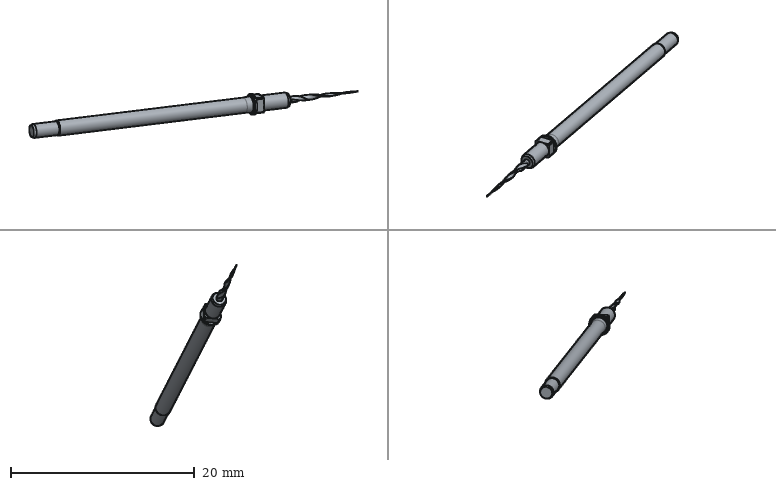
import cadquery as cq
import math

TOTAL_LENGTH = 38.8
TAIL_LENGTH = 2.95
NECK_START = 25.25
FLANGE_START = 26.0
FLANGE_END = 26.35
LUG_END = 27.28
BODY_END = 30.45
FLUTE_START = 30.8
FLUTE_FADE_START = 32.6

BODY_DIAMETER = 1.7
TAIL_DIAMETER = 1.55
NECK_FRONT_DIAMETER = 1.82
FLANGE_DIAMETER = 2.3
LUG_ACROSS_FLATS = 1.75
END_CHAMFER_LENGTH = 0.27
END_CHAMFER_DEPTH = 0.1
BODY_REAR_CHAMFER_LENGTH = 0.1
BODY_REAR_CHAMFER_DEPTH = 0.06
FLANGE_CHAMFER = 0.1

SHANK_RADIUS = 0.35
TIP_RADIUS = 0.05
TAPER_START = 31.8
WEB_RATIO = 0.4
FADED_WEB_RATIO = 0.95
TWIST_PITCH = 5.12
FLAT_STATION = 33.35
BLADE_SECTIONS = 25


def section_plane(station, angle=0):
    """Plane across the axis at a Y station, with its local x turned from +X about the axis."""
    plane = cq.Plane(origin=(0, station, 0), xDir=(1, 0, 0), normal=(0, 1, 0))
    return cq.Workplane(plane.rotated((0, 0, angle)))


def rod(start, end, diameter):
    return section_plane(start).circle(diameter / 2).extrude(end - start)


def square_lug():
    """Square wrench lug whose corners are rounded to the flange diameter."""
    length = LUG_END - FLANGE_END
    square = section_plane(FLANGE_END).rect(LUG_ACROSS_FLATS, LUG_ACROSS_FLATS).extrude(length)
    return square.intersect(rod(FLANGE_END, LUG_END, FLANGE_DIAMETER))


def handle():
    """Turned handle profile, revolved about Y, with the square lug in front of the flange."""
    body_radius = BODY_DIAMETER / 2
    tail_radius = TAIL_DIAMETER / 2
    flange_radius = FLANGE_DIAMETER / 2
    profile = (
        cq.Workplane("XY")
        .lineTo(tail_radius - END_CHAMFER_DEPTH, 0)
        .lineTo(tail_radius, END_CHAMFER_LENGTH)
        .lineTo(tail_radius, TAIL_LENGTH)
        .lineTo(body_radius - BODY_REAR_CHAMFER_DEPTH, TAIL_LENGTH)
        .lineTo(body_radius, TAIL_LENGTH + BODY_REAR_CHAMFER_LENGTH)
        .lineTo(body_radius, NECK_START)
        .lineTo(NECK_FRONT_DIAMETER / 2, FLANGE_START)
        .lineTo(flange_radius - FLANGE_CHAMFER, FLANGE_START)
        .lineTo(flange_radius, FLANGE_START + FLANGE_CHAMFER)
        .lineTo(flange_radius, FLANGE_END)
        .lineTo(body_radius, FLANGE_END)
        .lineTo(body_radius, BODY_END - END_CHAMFER_LENGTH)
        .lineTo(body_radius - END_CHAMFER_DEPTH, BODY_END)
        .lineTo(0, BODY_END)
        .close()
    )
    return profile.revolve(360, (0, 0, 0), (0, 1, 0)).union(square_lug())


def blade_radius(station):
    """Constant behind the taper start, then shrinking evenly to the tip."""
    taper = (station - TAPER_START) / (TOTAL_LENGTH - TAPER_START)
    return SHANK_RADIUS + (TIP_RADIUS - SHANK_RADIUS) * max(0, taper)


def blade_web_ratio(station):
    """Share of the diameter left between the flutes, growing toward the shank."""
    fade = (FLUTE_FADE_START - station) / (FLUTE_FADE_START - FLUTE_START)
    return WEB_RATIO + (FADED_WEB_RATIO - WEB_RATIO) * max(0, fade)


def blade_section(station):
    """Rounded flat section: a circle with its two opposite sides cut flat, turned with the twist."""
    radius = blade_radius(station)
    half_web = radius * blade_web_ratio(station)
    half_chord = math.sqrt(radius ** 2 - half_web ** 2)
    angle = 360 * (station - FLAT_STATION) / TWIST_PITCH
    outline = (
        section_plane(station, angle)
        .moveTo(half_web, -half_chord)
        .lineTo(half_web, half_chord)
        .threePointArc((0, radius), (-half_web, half_chord))
        .lineTo(-half_web, -half_chord)
        .threePointArc((0, -radius), (half_web, -half_chord))
        .close()
    )
    return outline.val()


def drill():
    spacing = (TOTAL_LENGTH - FLUTE_START) / (BLADE_SECTIONS - 1)
    sections = [blade_section(FLUTE_START + index * spacing) for index in range(BLADE_SECTIONS)]
    blade = cq.Workplane(cq.Solid.makeLoft(sections))
    return rod(BODY_END, FLUTE_START, 2 * SHANK_RADIUS).union(blade)


result = handle().union(drill())